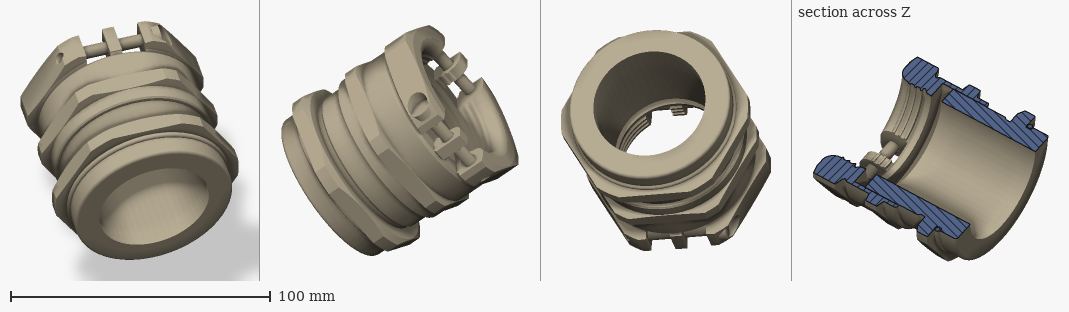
import cadquery as cq
import math


clamp_end = 12.0
neck_end = 12.7
shoulder_start = 13.95
nut_hex_start = 24.4
nut_hex_length = 7.05
nut_end = 37.2
nut_end_chamfer = 0.6

nut_radius = 63.5 / 2
neck_radius = 30.8
nut_flat_radius = 64.0 / 2
nut_corner_radius = 35.25
nut_bevel_radius = 31.6
nut_bevel = 0.9

mouth_radius = 26.95
mouth_arc = 5.15
throat_radius = 22.8
tooth_tip_radius = 44.4 / 2
tooth_valley_radius = 22.9
tooth_height = tooth_valley_radius - tooth_tip_radius
tooth_land = 0.65
tooth_pitch = 2.7
groove_count = 2
lip_entry_radius = 47.4 / 2
lip_radius = 44.5 / 2
lip_nose_radius = 22.05
lip_start = neck_end + lip_entry_radius - lip_radius
lip_nose_start = 15.1
lip_end = 16.5

slot_reach = 11.75
tongue_half_width = 2.35

screw_x = clamp_end / 2
screw_z = 27.4
screw_diameter = 5.0
head_diameter = 8.95
head_seat = 16.0
head_height = 2.95
screw_tip = -14.7
clearance_diameter = 5.5
pilot_diameter = 4.1

fitting_start = 21.3
fitting_end = 65.3
bore_radius = 44.0 / 2
nut_thread_radius = 59.5 / 2
nut_thread_end = 46.0
undercut_radius = 57.8 / 2
undercut_start = nut_thread_end + nut_thread_radius - undercut_radius
fitting_hex_start = 48.7
fitting_hex_end = 55.25
fitting_flat_radius = 68.0 / 2
fitting_corner_radius = 36.7
fitting_bevel_radius = 33.8
fitting_bevel = 1.6
entry_thread_radius = 62.95 / 2
entry_thread_start = 57.45
entry_chamfer = 0.4
entry_round = 1.2

ring_section_radius = 1.1
ring_outer_radius = 32.4
ring_center_radius = ring_outer_radius - ring_section_radius
ring_seat_radius = ring_center_radius - ring_section_radius
ring_x = fitting_hex_end + ring_section_radius

beyond = 44.1


def turned(points):
    """Solid of revolution about X of an outline of (x, radius) points."""
    return cq.Workplane("XY").polyline(points).close().revolve(360, (0, 0, 0), (1, 0, 0))


def disc(start, end, radius):
    """Cylinder about X between two stations."""
    return turned([(start, 0), (start, radius), (end, radius), (end, 0)])


def hexagon(start, end, flat_radius, bevels):
    """Hexagon along X with flats at +Z and -Z, trimmed to a turned outline."""
    corner = flat_radius / math.cos(math.radians(30))
    prism = cq.Workplane("YZ", origin=(start, 0, 0)).polygon(6, 2 * corner).extrude(end - start)
    return prism.intersect(turned([(start, 0), *bevels, (end, 0)]))


def nut_hexagon(start, end):
    """Hexagon of the nut, bevelled at both ends."""
    bevels = [
        (start, nut_bevel_radius),
        (start + nut_bevel, nut_corner_radius),
        (end - nut_bevel, nut_corner_radius),
        (end, nut_bevel_radius),
    ]
    return hexagon(start, end, nut_flat_radius, bevels)


def rod(start, end, diameter, z):
    """Cylinder along Y on the axis of a clamp screw."""
    plane = cq.Workplane("XZ", origin=(screw_x, start, z))
    return plane.circle(diameter / 2).extrude(start - end)


def nut_outside():
    """Solid outer shape of the nut: clamp hexagon, tapered neck, barrel and tool hexagon."""
    barrel = turned([
        (clamp_end, 0),
        (clamp_end, nut_bevel_radius),
        (neck_end, neck_radius),
        (shoulder_start, nut_radius),
        (nut_end - nut_end_chamfer, nut_radius),
        (nut_end, nut_radius - nut_end_chamfer),
        (nut_end, 0),
    ])
    clamp = nut_hexagon(0, clamp_end)
    tool_hexagon = nut_hexagon(nut_hex_start, nut_hex_start + nut_hex_length)
    return barrel.union(clamp).union(tool_hexagon)


def nut_bore():
    """Bell mouth, toothed grip, lip and threaded chamber, as one turned cutter."""
    arc_center_radius = throat_radius + mouth_arc
    mouth_start = mouth_arc - math.sqrt(mouth_arc**2 - (arc_center_radius - mouth_radius)**2)
    mid_angle = math.radians(45)
    mouth_mid = (
        mouth_arc * (1 - math.cos(mid_angle)),
        arc_center_radius - mouth_arc * math.sin(mid_angle),
    )
    outline = (
        cq.Workplane("XY")
        .moveTo(0, 0)
        .lineTo(0, mouth_radius)
        .lineTo(mouth_start, mouth_radius)
        .threePointArc(mouth_mid, (mouth_arc, throat_radius))
    )
    first_tip = mouth_arc + tooth_height
    outline = outline.lineTo(mouth_arc, tooth_valley_radius)
    outline = outline.lineTo(first_tip, tooth_tip_radius)
    for number in range(groove_count):
        groove_start = first_tip + number * tooth_pitch + tooth_land
        next_tip = first_tip + (number + 1) * tooth_pitch
        outline = outline.lineTo(groove_start, tooth_tip_radius)
        outline = outline.lineTo(groove_start, tooth_valley_radius)
        outline = outline.lineTo(next_tip - tooth_height, tooth_valley_radius)
        outline = outline.lineTo(next_tip, tooth_tip_radius)
    nose_length = lip_end - lip_nose_start
    nose_height = lip_radius - lip_nose_radius
    nose_mid = (lip_end - nose_length / 2, lip_nose_radius + nose_height / 4)
    outline = (
        outline
        .lineTo(clamp_end, tooth_tip_radius)
        .lineTo(clamp_end, lip_entry_radius)
        .lineTo(neck_end, lip_entry_radius)
        .lineTo(lip_start, lip_radius)
        .lineTo(lip_nose_start, lip_radius)
        .threePointArc(nose_mid, (lip_end, lip_nose_radius))
        .lineTo(lip_end, nut_thread_radius)
        .lineTo(nut_end, nut_thread_radius)
        .lineTo(nut_end, 0)
        .close()
    )
    return outline.revolve(360, (0, 0, 0), (1, 0, 0))


def clamp_slots():
    """Two slots across the clamp, one on each side of the tongues."""
    width = slot_reach - tongue_half_width
    middle = (slot_reach + tongue_half_width) / 2
    return (
        cq.Workplane("XY")
        .pushPoints([(neck_end / 2, middle), (neck_end / 2, -middle)])
        .rect(neck_end, width)
        .extrude(beyond, both=True)
    )


def screw_hole(z):
    """Head recess, clearance hole, threaded hole and pilot hole of one screw."""
    recess = rod(beyond, head_seat, head_diameter, z)
    clearance = rod(head_seat, -tongue_half_width, clearance_diameter, z)
    thread = rod(-tongue_half_width, screw_tip, screw_diameter, z)
    pilot = rod(screw_tip, -beyond, pilot_diameter, z)
    return recess.union(clearance).union(thread).union(pilot)


def make_nut():
    nut = nut_outside().cut(nut_bore()).cut(clamp_slots())
    for z in (screw_z, -screw_z):
        nut = nut.cut(screw_hole(z))
    return nut


def make_screw(z):
    head = rod(head_seat + head_height, head_seat, head_diameter, z)
    return head.union(rod(head_seat, screw_tip, screw_diameter, z))


def make_fitting():
    spigot = turned([
        (fitting_start, 0),
        (fitting_start, nut_thread_radius),
        (nut_thread_end, nut_thread_radius),
        (undercut_start, undercut_radius),
        (fitting_hex_start, undercut_radius),
        (fitting_hex_start, 0),
    ])
    flange = hexagon(fitting_hex_start, fitting_hex_end, fitting_flat_radius, [
        (fitting_hex_start, fitting_bevel_radius),
        (fitting_hex_start + fitting_bevel, fitting_corner_radius),
        (fitting_hex_end, fitting_corner_radius),
    ])
    ring_seat = disc(fitting_hex_end, entry_thread_start, ring_seat_radius)
    entry_thread = disc(entry_thread_start, fitting_end, entry_thread_radius)
    entry_thread = entry_thread.faces("<X").edges().chamfer(entry_chamfer)
    entry_thread = entry_thread.faces(">X").edges().fillet(entry_round)
    bore = disc(fitting_start, fitting_end, bore_radius)
    return spigot.union(flange).union(ring_seat).union(entry_thread).cut(bore)


def make_ring():
    section = cq.Workplane("XY").center(ring_x, ring_center_radius).circle(ring_section_radius)
    return section.revolve(360, (0, -ring_center_radius, 0), (1, -ring_center_radius, 0))


nut = make_nut()
screws = [make_screw(z) for z in (screw_z, -screw_z)]
fitting = make_fitting()
ring = make_ring()

result = cq.Compound.makeCompound([
    nut.val(),
    *[screw.val() for screw in screws],
    fitting.val(),
    ring.val(),
])